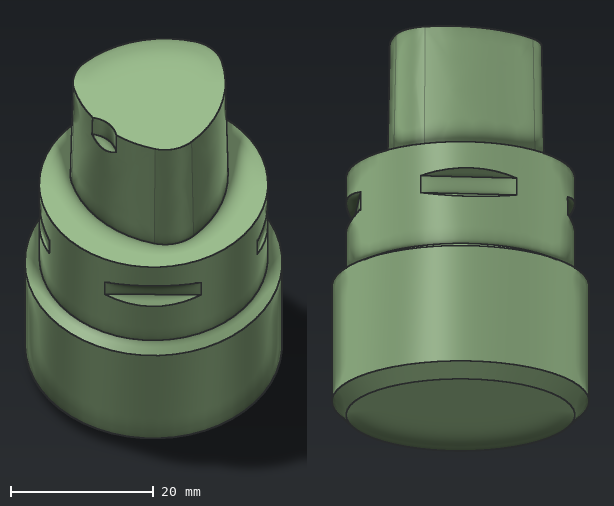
import cadquery as cq
import math

total_height = 54.0
collar_top = 19.0
neck_bottom = 20.0
neck_top = 35.0

collar_diameter = 36.0
neck_diameter = 32.0
bottom_chamfer = (collar_diameter - neck_diameter) / 2

corner_center_distance = 6.2
base_corner_radius = 5.65
top_corner_radius = 5.3

groove_floor_distance = 14.5
groove_center_height = 29.05
groove_outer_overlap = 0.55
groove_floor_height = 2.5
groove_wall_angle = 30.0
groove_angles = (45, 135, 225, 315)

notch_radius = 4.05
notch_inner_distance = 8.9
notch_depth = 3.4


def polar_point(radius, angle, center=(0.0, 0.0)):
    """Point at the given radius and angle in degrees around a center."""
    radians = math.radians(angle)
    return (center[0] + radius * math.cos(radians), center[1] + radius * math.sin(radians))


def make_body():
    collar_radius = collar_diameter / 2
    neck_radius = neck_diameter / 2
    half_section = [
        (0, 0),
        (collar_radius - bottom_chamfer, 0),
        (collar_radius, bottom_chamfer),
        (collar_radius, collar_top),
        (neck_radius, neck_bottom),
        (neck_radius, neck_top),
        (0, neck_top),
    ]
    return cq.Workplane("XZ").polyline(half_section).close().revolve(360, (0, 0), (0, 1))


def shank_outline(height, corner_radius):
    """Wire of the three-cornered outline, with one corner toward +Y."""
    center_spacing = corner_center_distance * math.sqrt(3)
    side_radius = corner_radius + center_spacing
    start_center = polar_point(corner_center_distance, 90)
    outline = cq.Workplane("XY", origin=(0, 0, height)).moveTo(*polar_point(corner_radius, 60, start_center))
    for corner_angle in (90, 210, 330):
        corner_center = polar_point(corner_center_distance, corner_angle)
        outline = outline.threePointArc(
            polar_point(corner_radius, corner_angle, corner_center),
            polar_point(corner_radius, corner_angle + 30, corner_center),
        )
        side_angle = corner_angle + 60
        side_center = polar_point(corner_center_distance, side_angle + 180)
        outline = outline.threePointArc(
            polar_point(side_radius, side_angle, side_center),
            polar_point(side_radius, side_angle + 30, side_center),
        )
    return outline.close().val()


def make_shank():
    base = shank_outline(neck_top, base_corner_radius)
    top = shank_outline(total_height, top_corner_radius)
    return cq.Workplane(cq.Solid.makeLoft([base, top], True))


def make_groove(angle):
    """Straight groove cutter, widening outward from its flat floor."""
    outer_distance = neck_diameter / 2 + groove_outer_overlap
    half_floor = groove_floor_height / 2
    flare = (outer_distance - groove_floor_distance) * math.tan(math.radians(groove_wall_angle))
    section = [
        (groove_floor_distance, groove_center_height - half_floor),
        (outer_distance, groove_center_height - half_floor - flare),
        (outer_distance, groove_center_height + half_floor + flare),
        (groove_floor_distance, groove_center_height + half_floor),
    ]
    cutter = cq.Workplane("XZ").polyline(section).close().extrude(neck_diameter / 2, both=True)
    return cutter.rotate((0, 0, 0), (0, 0, 1), angle)


def make_notch():
    """Vertical round cutter with a 90 degree conical point."""
    shoulder_height = total_height - notch_depth
    half_section = [
        (0, shoulder_height - notch_radius),
        (notch_radius, shoulder_height),
        (notch_radius, total_height),
        (0, total_height),
    ]
    cutter = cq.Workplane("XZ").polyline(half_section).close().revolve(360, (0, 0), (0, 1))
    return cutter.translate((0, -notch_inner_distance - notch_radius, 0))


result = make_body().union(make_shank()).cut(make_notch())
for groove_angle in groove_angles:
    result = result.cut(make_groove(groove_angle))